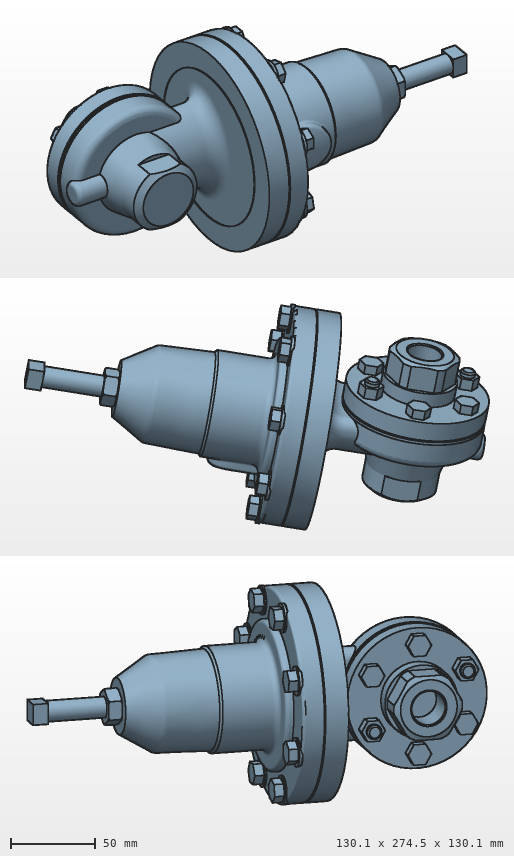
import cadquery as cq
import math


FLANGE_R = 65.025
FLANGE_BOTTOM_Y = 52.0
FLANGE_TOP_Y = 80.2
FLANGE_EDGE_ROUND = 1.8
DIAPHRAGM_Y = 66.1
DIAPHRAGM_T = 0.8
DIAPHRAGM_INSET = 0.25
FOOT_R = 49.2
FOOT_H = 0.5
FOOT_Y = FLANGE_BOTTOM_Y - FOOT_H

PLATEAU_R = 45.5
PLATEAU_Y = 85.1
PLATEAU_ROUND = 2.5
HOUSING_R = 32.0
HOUSING_ROOT_FILLET = 4.0
SHOULDER_Y = 120.0
SHOULDER_CHAMFER = 1.5
DOME_WALL_LOW_R = HOUSING_R - SHOULDER_CHAMFER
DOME_WALL_HIGH_R = 29.4
DOME_WALL_TOP_Y = 153.8
DOME_CONE_LOW_R = 28.2
DOME_CONE_LOW_Y = 157.0
DOME_TOP_R = 17.0
DOME_TOP_Y = 175.5

VENT_OUTER_R = 37.2
VENT_HALF_WIDTH = 15.8
VENT_CENTRE_Y = 99.1
VENT_EDGE_ROUND = 2.5
VENT_ROOT_FILLET = 1.5

STEM_D = 12.7
STEM_TOP_Y = 229.5
STEM_SQUARE_L = 9.5
LOCK_NUT_AF = 19.5
LOCK_NUT_H = 8.5
LOCK_NUT_CHAMFER = 0.8

FLANGE_BOLT_COUNT = 8
FLANGE_BOLT_CIRCLE_R = 57.0
FLANGE_BOLT_START = 22.5
FLANGE_BOLT_TWIST = 7.5
BOLT_AF = 12.5
BOLT_TOP_Y = 87.1
BOLT_PAD_R = 8.7
BOLT_PAD_Y = 81.2
BOLT_PAD_H = 2.0

BODY_R = 43.0
COVER_LEFT_X = -30.2
GASKET_LEFT_X = -18.5
GASKET_T = 0.8
GASKET_INSET = 0.25
RIM_RIGHT_X = -15.9
RIM_INSET = 0.1
BODY_RIGHT_X = 0.4
BODY_ROUND = 4.9
PORT_CONE_R = 26.9
PORT_R = 22.3
OUTLET_LEFT_X = 19.5
OUTLET_END_X = 35.3
OUTLET_CHAMFER_L = 3.4
OUTLET_CHAMFER_R = 4.6

PORT_AF = 39.0
INLET_END_X = -55.5
INLET_HEX_RIGHT_X = -39.2
INLET_HEX_TURNED_R = 21.1
INLET_FACE_R = 17.4
INLET_CHAMFER_L = 1.5
BORE_R = 10.3
BORE_MOUTH_R = 11.1
BORE_CHAMFER_L = 0.8
BORE_DEPTH = 20.0

COVER_BOLT_COUNT = 6
COVER_BOLT_CIRCLE_R = 33.2
COVER_BOLT_START = 30.0
COVER_BOLT_H = 5.8
COVER_STUD_INDICES = (2, 5)
COVER_NUT_H = 6.9
STUD_R = 4.4
STUD_L = 10.1
STUD_CHAMFER = 1.0

NECK_LEFT_X = RIM_RIGHT_X
NECK_RIGHT_X = 13.1
NECK_ARC_R = 31.2
NECK_HALF_Z = 28.5
NECK_LEFT_CORNER_R = 6.6
NECK_RIGHT_CORNER_R = 11.5
NECK_FOOT_FILLET = 10.0

OVERALL_LENGTH = 274.49
PLUG_R = 7.9
PLUG_END_Y = STEM_TOP_Y - OVERALL_LENGTH
PLUG_ROUND = 3.0


def hex_across_corners(across_flats):
    return across_flats / math.cos(math.pi / 6)


def cylinder_y(radius, start_y, end_y):
    """Cylinder about the Y axis."""
    return cq.Workplane("XZ", origin=(0, start_y, 0)).circle(radius).extrude(start_y - end_y)


def cylinder_x(radius, start_x, end_x):
    """Cylinder about the X axis."""
    return cq.Workplane("YZ", origin=(start_x, 0, 0)).circle(radius).extrude(end_x - start_x)


def hex_y(across_flats, start_y, end_y):
    """Hexagonal prism about the Y axis with two corners on X."""
    size = hex_across_corners(across_flats)
    return cq.Workplane("XZ", origin=(0, start_y, 0)).polygon(6, size).extrude(start_y - end_y)


def hex_x(across_flats, start_x, end_x):
    """Hexagonal prism about the X axis with two corners on Y."""
    size = hex_across_corners(across_flats)
    return cq.Workplane("YZ", origin=(start_x, 0, 0)).polygon(6, size).extrude(end_x - start_x)


def make_flanges_and_housing():
    diaphragm_r = FLANGE_R - DIAPHRAGM_INSET
    diaphragm_top_y = DIAPHRAGM_Y + DIAPHRAGM_T
    root_r = HOUSING_R + HOUSING_ROOT_FILLET
    root_y = PLATEAU_Y + HOUSING_ROOT_FILLET
    profile = (
        cq.Workplane("XY")
        .moveTo(0, FOOT_Y)
        .lineTo(FOOT_R, FOOT_Y)
        .lineTo(FOOT_R, FLANGE_BOTTOM_Y)
        .lineTo(FLANGE_R, FLANGE_BOTTOM_Y)
        .lineTo(FLANGE_R, DIAPHRAGM_Y)
        .lineTo(diaphragm_r, DIAPHRAGM_Y)
        .lineTo(diaphragm_r, diaphragm_top_y)
        .lineTo(FLANGE_R, diaphragm_top_y)
        .lineTo(FLANGE_R, FLANGE_TOP_Y - FLANGE_EDGE_ROUND)
        .tangentArcPoint((FLANGE_R - FLANGE_EDGE_ROUND, FLANGE_TOP_Y), relative=False)
        .lineTo(PLATEAU_R, FLANGE_TOP_Y)
        .lineTo(PLATEAU_R, PLATEAU_Y - PLATEAU_ROUND)
        .tangentArcPoint((PLATEAU_R - PLATEAU_ROUND, PLATEAU_Y), relative=False)
        .lineTo(root_r, PLATEAU_Y)
        .tangentArcPoint((HOUSING_R, root_y), relative=False)
        .lineTo(HOUSING_R, SHOULDER_Y)
        .lineTo(DOME_WALL_LOW_R, SHOULDER_Y + SHOULDER_CHAMFER)
        .lineTo(DOME_WALL_HIGH_R, DOME_WALL_TOP_Y)
        .tangentArcPoint((DOME_CONE_LOW_R, DOME_CONE_LOW_Y), relative=False)
        .lineTo(DOME_TOP_R, DOME_TOP_Y)
        .lineTo(0, DOME_TOP_Y)
        .close()
    )
    return profile.revolve(360, (0, 0, 0), (0, 1, 0))


def make_neck():
    """Smooth D-shaped column from the flow axis up to the flange foot."""
    arc_centre_x = NECK_RIGHT_X - NECK_ARC_R
    left_corner_x = NECK_LEFT_X + NECK_LEFT_CORNER_R
    left_corner_z = NECK_HALF_Z - NECK_LEFT_CORNER_R
    corner_centre_z = NECK_HALF_Z - NECK_RIGHT_CORNER_R
    centre_distance = NECK_ARC_R - NECK_RIGHT_CORNER_R
    corner_offset_x = math.sqrt(centre_distance**2 - corner_centre_z**2)
    corner_centre_x = arc_centre_x + corner_offset_x
    touch_x = arc_centre_x + NECK_ARC_R * corner_offset_x / centre_distance
    touch_z = NECK_ARC_R * corner_centre_z / centre_distance
    outline = (
        cq.Workplane("XZ", origin=(0, FOOT_Y, 0))
        .moveTo(NECK_LEFT_X, -left_corner_z)
        .lineTo(NECK_LEFT_X, left_corner_z)
        .tangentArcPoint((left_corner_x, NECK_HALF_Z), relative=False)
        .lineTo(corner_centre_x, NECK_HALF_Z)
        .tangentArcPoint((touch_x, touch_z), relative=False)
        .threePointArc((NECK_RIGHT_X, 0), (touch_x, -touch_z))
        .tangentArcPoint((corner_centre_x, -NECK_HALF_Z), relative=False)
        .lineTo(left_corner_x, -NECK_HALF_Z)
        .tangentArcPoint((NECK_LEFT_X, -left_corner_z), relative=False)
        .close()
    )
    foot = cylinder_y(FOOT_R, FOOT_Y, FLANGE_BOTTOM_Y)
    root_zone = cq.selectors.BoxSelector(
        (-NECK_ARC_R, FOOT_Y - FOOT_H / 2, -NECK_ARC_R),
        (NECK_ARC_R, FOOT_Y + FOOT_H / 2, NECK_ARC_R),
        boundingbox=True,
    )
    return outline.extrude(FOOT_Y).union(foot).edges(root_zone).fillet(NECK_FOOT_FILLET)


def make_vent_boss():
    """Round-topped boss whose outer face is concentric with the housing."""
    base_y = PLATEAU_Y - PLATEAU_ROUND
    boss = (
        cq.Workplane("YZ")
        .moveTo(base_y, -VENT_HALF_WIDTH)
        .lineTo(VENT_CENTRE_Y, -VENT_HALF_WIDTH)
        .threePointArc((VENT_CENTRE_Y + VENT_HALF_WIDTH, 0), (VENT_CENTRE_Y, VENT_HALF_WIDTH))
        .lineTo(base_y, VENT_HALF_WIDTH)
        .close()
        .extrude(VENT_OUTER_R + 1)
    )
    boss = boss.intersect(cylinder_y(VENT_OUTER_R, base_y, SHOULDER_Y))
    wall = cylinder_y(HOUSING_R, base_y, SHOULDER_Y).rotate((0, 0, 0), (0, 1, 0), 180)
    inner_x = HOUSING_R - VENT_OUTER_R / 4
    root_zone = cq.selectors.BoxSelector(
        (inner_x, base_y + 1, -VENT_OUTER_R), (HOUSING_R, SHOULDER_Y, VENT_OUTER_R)
    )
    rim_zone = cq.selectors.BoxSelector(
        (HOUSING_R, base_y + 1, -VENT_OUTER_R), (VENT_OUTER_R, SHOULDER_Y, VENT_OUTER_R)
    )
    boss = boss.union(wall).edges(root_zone).fillet(VENT_ROOT_FILLET)
    return boss.edges(rim_zone).fillet(VENT_EDGE_ROUND)


def make_adjusting_screw():
    square_y = STEM_TOP_Y - STEM_SQUARE_L
    shaft = cylinder_y(STEM_D / 2, DOME_TOP_Y, square_y)
    square = cq.Workplane("XZ", origin=(0, square_y, 0)).rect(STEM_D, STEM_D).extrude(-STEM_SQUARE_L)
    nut_top_y = DOME_TOP_Y + LOCK_NUT_H
    corner_r = hex_across_corners(LOCK_NUT_AF) / 2
    bevel = cylinder_y(corner_r, DOME_TOP_Y, nut_top_y).edges().chamfer(LOCK_NUT_CHAMFER)
    nut = hex_y(LOCK_NUT_AF, DOME_TOP_Y, nut_top_y).rotate((0, 0, 0), (0, 1, 0), 30).intersect(bevel)
    return shaft.union(square).union(nut)


def make_flange_bolts():
    bolts = cq.Workplane("XY")
    for index in range(FLANGE_BOLT_COUNT):
        angle = FLANGE_BOLT_START + index * 360 / FLANGE_BOLT_COUNT
        head = hex_y(BOLT_AF, BOLT_PAD_Y, BOLT_TOP_Y).rotate((0, 0, 0), (0, 1, 0), -FLANGE_BOLT_TWIST)
        pad = cylinder_y(BOLT_PAD_R, BOLT_PAD_Y - BOLT_PAD_H, BOLT_PAD_Y)
        bolt = head.union(pad).translate((FLANGE_BOLT_CIRCLE_R, 0, 0))
        bolts = bolts.union(bolt.rotate((0, 0, 0), (0, 1, 0), -angle))
    return bolts


def make_valve_body():
    gasket_r = BODY_R - GASKET_INSET
    gasket_right_x = GASKET_LEFT_X + GASKET_T
    rim_r = BODY_R - RIM_INSET
    profile = (
        cq.Workplane("XY")
        .moveTo(INLET_HEX_RIGHT_X, 0)
        .lineTo(INLET_HEX_RIGHT_X, PORT_R)
        .lineTo(COVER_LEFT_X, PORT_R)
        .lineTo(COVER_LEFT_X, BODY_R)
        .lineTo(GASKET_LEFT_X, BODY_R)
        .lineTo(GASKET_LEFT_X, gasket_r)
        .lineTo(gasket_right_x, gasket_r)
        .lineTo(gasket_right_x, rim_r)
        .lineTo(RIM_RIGHT_X, rim_r)
        .lineTo(RIM_RIGHT_X, BODY_R)
        .lineTo(BODY_RIGHT_X - BODY_ROUND, BODY_R)
        .tangentArcPoint((BODY_RIGHT_X, BODY_R - BODY_ROUND), relative=False)
        .lineTo(BODY_RIGHT_X, PORT_CONE_R)
        .lineTo(OUTLET_LEFT_X, PORT_R)
        .lineTo(OUTLET_LEFT_X, 0)
        .close()
    )
    return profile.revolve(360, (0, 0, 0), (1, 0, 0))


def make_outlet_end():
    """Round outlet end with two wrench flats facing +Z and -Z."""
    outlet = (
        cylinder_x(PORT_R, OUTLET_LEFT_X, OUTLET_END_X)
        .faces(">X")
        .chamfer(OUTLET_CHAMFER_L, OUTLET_CHAMFER_R)
    )
    flats = cq.Workplane("XY").box(2 * OUTLET_END_X, 2 * PORT_R, PORT_AF)
    return outlet.intersect(flats)


def make_inlet_hex():
    """Hexagon with corners turned down and a bevelled end face."""
    turned = (
        cq.Workplane("XY")
        .moveTo(INLET_END_X, 0)
        .lineTo(INLET_END_X, INLET_FACE_R)
        .lineTo(INLET_END_X + INLET_CHAMFER_L, INLET_HEX_TURNED_R)
        .lineTo(INLET_HEX_RIGHT_X, INLET_HEX_TURNED_R)
        .lineTo(INLET_HEX_RIGHT_X, 0)
        .close()
        .revolve(360, (0, 0, 0), (1, 0, 0))
    )
    return hex_x(PORT_AF, INLET_END_X, INLET_HEX_RIGHT_X).intersect(turned)


def make_inlet_bore():
    bore_end_x = INLET_END_X + BORE_DEPTH
    return (
        cq.Workplane("XY")
        .moveTo(INLET_END_X, 0)
        .lineTo(INLET_END_X, BORE_MOUTH_R)
        .lineTo(INLET_END_X + BORE_CHAMFER_L, BORE_R)
        .lineTo(bore_end_x, BORE_R)
        .lineTo(bore_end_x, 0)
        .close()
        .revolve(360, (0, 0, 0), (1, 0, 0))
    )


def make_cover_fasteners():
    """Hexagon heads on the cover, two of them being nuts on projecting studs."""
    fasteners = cq.Workplane("XY")
    for index in range(COVER_BOLT_COUNT):
        angle = math.radians(COVER_BOLT_START + index * 360 / COVER_BOLT_COUNT)
        y = COVER_BOLT_CIRCLE_R * math.cos(angle)
        z = COVER_BOLT_CIRCLE_R * math.sin(angle)
        if index in COVER_STUD_INDICES:
            nut = hex_x(BOLT_AF, COVER_LEFT_X - COVER_NUT_H, COVER_LEFT_X)
            stud = cylinder_x(STUD_R, COVER_LEFT_X - STUD_L, COVER_LEFT_X)
            fastener = nut.union(stud.faces("<X").chamfer(STUD_CHAMFER))
        else:
            fastener = hex_x(BOLT_AF, COVER_LEFT_X - COVER_BOLT_H, COVER_LEFT_X)
        fasteners = fasteners.union(fastener.translate((0, y, z)))
    return fasteners


def make_bottom_plug():
    return cylinder_y(PLUG_R, PLUG_END_Y, 0).faces("<Y").edges().fillet(PLUG_ROUND)


upper = (
    make_flanges_and_housing()
    .union(make_vent_boss())
    .union(make_adjusting_screw())
    .union(make_flange_bolts())
)
valve = (
    make_valve_body()
    .union(make_outlet_end())
    .union(make_inlet_hex())
    .union(make_cover_fasteners())
    .union(make_bottom_plug())
)
result = upper.union(make_neck()).union(valve).cut(make_inlet_bore())